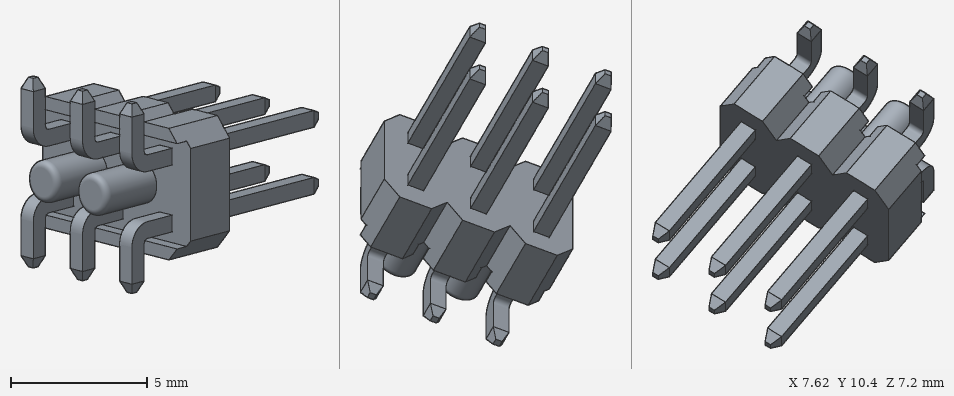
import cadquery as cq


columns = 3
rows = 2
housing_width = 7.62
pitch = housing_width / columns

housing_height = 5.0
lip_depth = 0.5
lip_thickness = 0.5
housing_depth = 2.54
housing_back = housing_depth - lip_depth
bevel_x = 0.63
bevel_z = 0.74

peg_diameter = 1.59
peg_length = 2.6
peg_fillet = 0.24

pin_size = 0.64
overall_length = 10.44
pin_back = overall_length - peg_length
pin_front = -2.1
pin_reach = 3.6
bend_inner = 0.19
tip_length = 0.43
tip_size = 0.25

column_places = [(i - (columns - 1) / 2) * pitch for i in range(columns)]
peg_places = [(i - (columns - 2) / 2) * pitch for i in range(columns - 1)]


def make_segment(x):
    """One bevelled eight-sided segment of the housing, centred at x."""
    half_width = pitch / 2
    half_height = housing_height / 2
    flat = half_width - bevel_x
    shoulder = half_height - bevel_z
    outline = [
        (-half_width, -shoulder),
        (-flat, -half_height),
        (flat, -half_height),
        (half_width, -shoulder),
        (half_width, shoulder),
        (flat, half_height),
        (-flat, half_height),
        (-half_width, shoulder),
    ]
    profile = cq.Workplane("XZ", origin=(x, housing_back, 0)).polyline(outline).close()
    return profile.extrude(housing_depth)


def make_peg(x):
    """Round locating peg standing on the mounting face, with a rounded end."""
    peg = cq.Workplane("XZ", origin=(x, 0, 0)).circle(peg_diameter / 2).extrude(peg_length)
    return peg.faces("<Y").edges().fillet(peg_fillet)


def make_housing():
    """Segments joined in a row, recessed between the lips, with pegs and pin holes."""
    body = make_segment(column_places[0])
    for x in column_places[1:]:
        body = body.union(make_segment(x))
    recess_height = housing_height - 2 * lip_thickness
    recess = cq.Workplane("XZ").rect(housing_width, recess_height).extrude(lip_depth)
    body = body.cut(recess)
    for x in peg_places:
        body = body.union(make_peg(x))
    hole_grid = cq.Workplane("XZ", origin=(0, housing_back, 0)).rarray(pitch, pitch, columns, rows)
    return body.cut(hole_grid.rect(pin_size, pin_size).extrude(housing_back))


def make_tip(plane):
    """Four-sided taper from the pin section to the small end face, along the plane's normal."""
    base = cq.Workplane(plane).rect(pin_size, pin_size)
    return base.workplane(offset=tip_length).rect(tip_size, tip_size).loft()


def make_pin(x, side):
    """Right-angle pin in column x; side is 1 for the upper row, -1 for the lower one."""
    row_z = pitch / 2
    straight_end = pin_back - tip_length
    bent_end = pin_reach - tip_length
    leg_y = pin_front + pin_size / 2
    path_radius = bend_inner + pin_size / 2
    path_end = (leg_y, row_z + path_radius)
    path = (
        cq.Workplane("YZ", origin=(x, 0, 0))
        .moveTo(straight_end, row_z)
        .lineTo(leg_y + path_radius, row_z)
        .radiusArc(path_end, path_radius)
        .lineTo(leg_y, bent_end)
    )
    start = cq.Plane(origin=(x, straight_end, row_z), xDir=(1, 0, 0), normal=(0, 1, 0))
    finish = cq.Plane(origin=(x, leg_y, bent_end), xDir=(1, 0, 0), normal=(0, 0, 1))
    pin = cq.Workplane(start).rect(pin_size, pin_size).sweep(path)
    pin = pin.union(make_tip(start)).union(make_tip(finish))
    if side < 0:
        pin = pin.mirror("XY")
    return pin


pins = [make_pin(x, side) for side in (1, -1) for x in column_places]
housing = make_housing()
result = cq.Compound.makeCompound([housing.val(), *[pin.val() for pin in pins]])